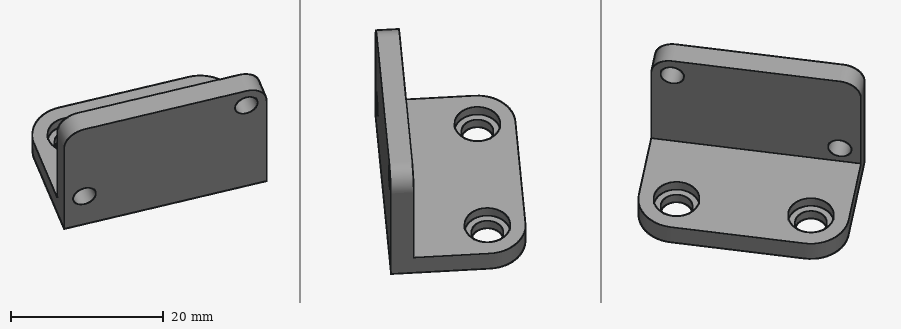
import cadquery as cq

length_x = 18.0
width_y = 27.8
height_z = 18.6
base_thickness = 3.0
wall_thickness = 3.0

base_corner_radius = 5.0
base_hole_diameter = 4.2
counterbore_diameter = 6.0
counterbore_depth = 1.5

wall_corner_radius = 2.8
wall_hole_diameter = 3.1
wall_hole_spacing_z = 10.3

half_width = width_y / 2
wall_face_x = length_x - wall_thickness


def make_base():
    plate = cq.Workplane("XY").box(length_x, width_y, base_thickness, centered=(False, True, False))
    plate = plate.edges("|Z and <X").fillet(base_corner_radius)
    hole_y = half_width - base_corner_radius
    return (
        plate.faces(">Z")
        .workplane(origin=(0, 0, base_thickness))
        .pushPoints([(base_corner_radius, -hole_y), (base_corner_radius, hole_y)])
        .cboreHole(base_hole_diameter, counterbore_diameter, counterbore_depth)
    )


def make_wall():
    plate = (
        cq.Workplane("XY")
        .box(wall_thickness, width_y, height_z, centered=(False, True, False))
        .translate((wall_face_x, 0, 0))
    )
    plate = plate.edges("|X and >Z").fillet(wall_corner_radius)
    hole_y = half_width - wall_corner_radius
    upper_hole_z = height_z - wall_corner_radius
    lower_hole_z = upper_hole_z - wall_hole_spacing_z
    holes = (
        cq.Workplane("YZ", origin=(wall_face_x, 0, 0))
        .pushPoints([(hole_y, upper_hole_z), (-hole_y, lower_hole_z)])
        .circle(wall_hole_diameter / 2)
        .extrude(wall_thickness)
    )
    return plate.cut(holes)


result = make_base().union(make_wall())